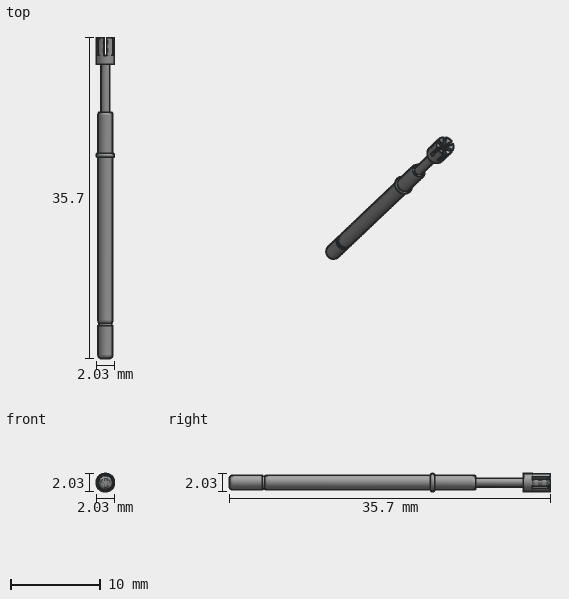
import cadquery as cq

total_length = 35.7

barrel_radius = 0.82
barrel_end = 27.38
tail_round = 0.43

shoulder_length = 0.32
shoulder_drop = 0.1
shoulder_radius = barrel_radius - shoulder_drop

groove_start = 3.65
groove_floor_end = 3.95
groove_end = groove_floor_end + shoulder_length

ring_radius = 1.017
ring_centre = 22.6
ring_width = 0.45

shaft_radius = 0.5
shaft_overlap = 0.35
crown_radius = 1.017
crown_length = 3.0
crown_base = total_length - crown_length
crown_dish_depth = 0.57
slot_width = 0.3
slot_depth = 2.0
slot_count = 3


def cylinder(radius, start, end):
    """Solid cylinder on the Y axis between two Y positions."""
    return cq.Workplane("XZ", origin=(0, start, 0)).circle(radius).extrude(start - end)


def make_barrel():
    """Barrel with a rounded tail, a crimp groove near it and a rolled-in mouth."""
    arc_radius = (shoulder_length**2 + shoulder_drop**2) / (2 * shoulder_drop)
    barrel = (
        cq.Workplane("XY")
        .lineTo(barrel_radius, 0)
        .lineTo(barrel_radius, groove_start)
        .lineTo(shoulder_radius, groove_start)
        .lineTo(shoulder_radius, groove_floor_end)
        .radiusArc((barrel_radius, groove_end), -arc_radius)
        .lineTo(barrel_radius, barrel_end - shoulder_length)
        .radiusArc((shoulder_radius, barrel_end), -arc_radius)
        .lineTo(0, barrel_end)
        .close()
        .revolve(360, (0, 0, 0), (0, 1, 0))
    )
    return barrel.faces("<Y").edges().fillet(tail_round)


def make_ring():
    """Rounded bead standing proud of the barrel wall, with a solid core."""
    half_width = ring_width / 2
    return (
        cq.Workplane("XY")
        .moveTo(0, ring_centre - half_width)
        .lineTo(barrel_radius, ring_centre - half_width)
        .threePointArc((ring_radius, ring_centre), (barrel_radius, ring_centre + half_width))
        .lineTo(0, ring_centre + half_width)
        .close()
        .revolve(360, (0, 0, 0), (0, 1, 0))
    )


def make_crown():
    """Crown with a dished tip, split into teeth by slots through the axis."""
    crown = cylinder(crown_radius, crown_base, total_length)
    dish = (
        cq.Workplane("XY")
        .moveTo(0, total_length)
        .lineTo(crown_radius, total_length)
        .lineTo(0, total_length - crown_dish_depth)
        .close()
        .revolve(360, (0, 0, 0), (0, 1, 0))
    )
    crown = crown.cut(dish)
    slot = cq.Workplane("XY").box(slot_width, 2 * slot_depth, 2 * crown_radius)
    slot = slot.translate((0, total_length, 0))
    for index in range(slot_count):
        crown = crown.cut(slot.rotate((0, 0, 0), (0, 1, 0), index * 180 / slot_count))
    return crown


shaft = cylinder(shaft_radius, barrel_end - shaft_overlap, crown_base)
result = make_barrel().union(make_ring()).union(shaft).union(make_crown())